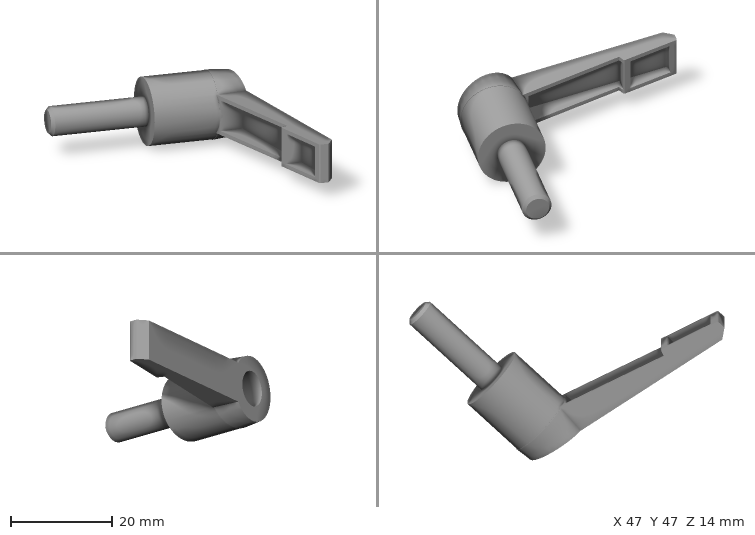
import cadquery as cq
import math


stud_diameter = 6.0
stud_length = 20.0
stud_chamfer = 0.65

overall_size = 47.0
head_radius = 7.0
sleeve_radius = 6.9
sleeve_height = 13.4
head_rim_height = 0.15
head_taper = 4.8
bore_diameter = 7.15
bore_depth = 9.4

arm_width = 8.1
arm_root_x = 5.8
arm_root_y = 13.15
notch_x = 27.45
notch_y = 21.0
lip_x = 28.05
lip_y = 19.55
tip_x = overall_size - head_radius
tip_low_y = 23.8
tip_high_y = 25.6
lip_fillet = 0.25
tip_fillet = 0.4
crest_x = 37.9
crest_y = overall_size - stud_length

head_low_y = 16.75
top_slope = (crest_y - head_low_y) / (crest_x + head_radius)


def top_y(x):
    return crest_y - top_slope * (crest_x - x)


pocket_wall = 0.85
pocket_width = arm_width - 2 * pocket_wall
long_pocket_start = 6.95
long_pocket_end = 28.0
short_pocket_start = 29.45
short_pocket_end = 38.5
short_pocket_fillet = 0.5
pocket_opening_y = 9.4
top_thickness = 1.7
top_skin = top_thickness * math.hypot(1, top_slope)


def floor_y(x):
    return top_y(x) - top_skin


def prism(points, width):
    """Extrude an XY outline symmetrically about the Z = 0 plane."""
    return cq.Workplane("XY").polyline(points).close().extrude(width / 2, both=True)


def disc(radius, start_y, height, taper=0):
    """Round solid on the hub axis, growing toward +Y from start_y."""
    plane = cq.Plane(origin=(0, start_y, 0), xDir=(1, 0, 0), normal=(0, 1, 0))
    return cq.Workplane(plane).circle(radius).extrude(height, taper=taper)


def make_stud():
    return disc(stud_diameter / 2, -stud_length, stud_length).faces("<Y").chamfer(stud_chamfer)


def make_head():
    rim = disc(head_radius, sleeve_height, head_rim_height)
    cone_start = sleeve_height + head_rim_height
    cone = disc(head_radius, cone_start, top_y(head_radius) - cone_start, head_taper)
    below_top = prism(
        [
            (-head_radius, 0),
            (head_radius, 0),
            (head_radius, top_y(head_radius)),
            (-head_radius, top_y(-head_radius)),
        ],
        2 * head_radius,
    )
    return rim.union(cone).intersect(below_top)


def make_arm():
    arm = prism(
        [
            (0, top_y(0)),
            (crest_x, crest_y),
            (tip_x, tip_high_y),
            (tip_x, tip_low_y),
            (lip_x, lip_y),
            (notch_x, notch_y),
            (arm_root_x, arm_root_y),
            (0, arm_root_y),
        ],
        arm_width,
    )
    arm = arm.edges(cq.selectors.NearestToPointSelector((lip_x, lip_y, 0))).fillet(lip_fillet)
    return arm.edges(cq.selectors.NearestToPointSelector((tip_x, tip_low_y, 0))).fillet(tip_fillet)


def make_pocket(start_x, end_x):
    """Pocket with upright walls and a floor parallel to the sloping top."""
    return prism(
        [
            (start_x, pocket_opening_y),
            (end_x, pocket_opening_y),
            (end_x, floor_y(end_x)),
            (start_x, floor_y(start_x)),
        ],
        pocket_width,
    )


sleeve = disc(sleeve_radius, 0, sleeve_height)
long_pocket = make_pocket(long_pocket_start, long_pocket_end)
short_pocket = make_pocket(short_pocket_start, short_pocket_end)
short_pocket = short_pocket.edges("|Z and >Y").fillet(short_pocket_fillet)
arm = make_arm().cut(long_pocket).cut(short_pocket)
bore = disc(bore_diameter / 2, top_y(0) - bore_depth, 2 * bore_depth)

result = sleeve.union(make_head()).union(arm).union(make_stud()).cut(bore)